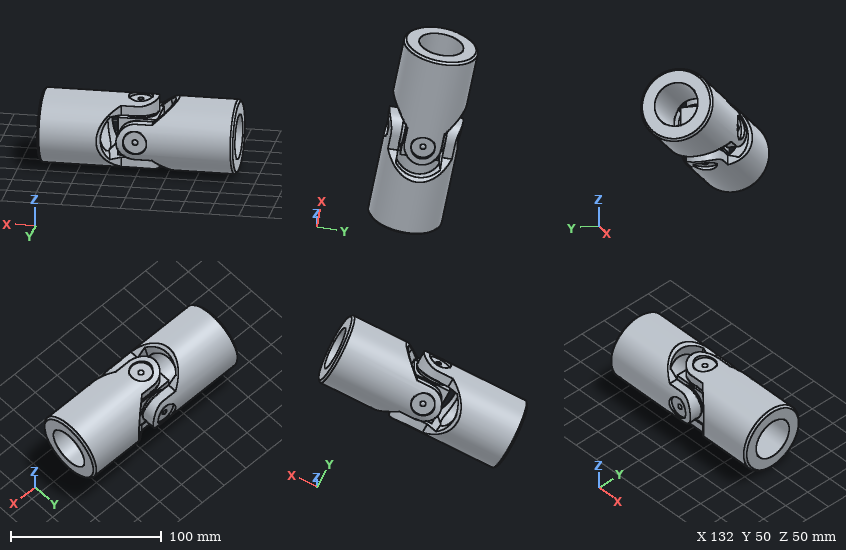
import cadquery as cq

hub_length = 66.0
hub_diameter = 50.0
hub_radius = hub_diameter / 2
bore_diameter = 30.0
end_chamfer = 1.5

ear_radius = 12.5
ear_straight_end = 11.1
shoulder_end = 25.9
fork_gap = bore_diameter
slot_bottom_radius = 20.6
slot_bottom_centre = 7.0
slot_bottom_tilt = 11.5

block_x = 26.7
block_y = 25.9
block_z = 26.7
collar_diameter = 23.0
pin_diameter = 16.0
pin_reach = 22.7
nib_diameter = 3.8
nib_height = 0.8


def fork_outline():
    """Hub with ear, as a plan outline to be extruded along the pin axis."""
    return (
        cq.Workplane("XY")
        .moveTo(hub_length, hub_radius)
        .lineTo(shoulder_end, hub_radius)
        .lineTo(ear_straight_end, ear_radius)
        .lineTo(0, ear_radius)
        .threePointArc((-ear_radius, 0), (0, -ear_radius))
        .lineTo(ear_straight_end, -ear_radius)
        .lineTo(shoulder_end, -hub_radius)
        .lineTo(hub_length, -hub_radius)
        .close()
        .extrude(hub_radius, both=True)
    )


def fork_slot():
    """Gap between the ears, with a round bottom that deepens toward the hub axis."""
    gap = cq.Workplane("XY").box(hub_diameter, hub_diameter, fork_gap)
    open_end = gap.translate((slot_bottom_centre - hub_radius, 0, 0))
    near_half = cq.Workplane("XY").box(2 * hub_diameter, hub_diameter, fork_gap).translate((0, -hub_radius, 0))
    half_bottom = (
        cq.Workplane("XZ")
        .circle(slot_bottom_radius)
        .extrude(hub_diameter)
        .translate((0, hub_radius, 0))
        .rotate((0, 0, 0), (0, 0, 1), -slot_bottom_tilt)
        .translate((slot_bottom_centre, 0, 0))
        .intersect(near_half)
    )
    return open_end.union(half_bottom).union(half_bottom.mirror("XZ"))


def make_hub():
    """Hub on the +X side, with its ears on the Z pins."""
    barrel = (
        cq.Workplane("YZ", origin=(-ear_radius, 0, 0))
        .circle(hub_radius)
        .extrude(hub_length + ear_radius)
        .faces(">X")
        .chamfer(end_chamfer)
    )
    bore = cq.Workplane("YZ").circle(bore_diameter / 2).extrude(hub_length)
    pin_holes = cq.Workplane("XY").circle(pin_diameter / 2).extrude(hub_radius, both=True)
    return barrel.intersect(fork_outline()).cut(fork_slot()).cut(bore).cut(pin_holes)


def make_nib():
    """Ball sunk into the +Z pin, leaving a domed nib proud of its end face."""
    radius = nib_diameter / 2
    dome_radius = (radius**2 + nib_height**2) / (2 * nib_height)
    dome_centre = pin_reach + nib_height - dome_radius
    return cq.Workplane("XY").sphere(dome_radius).translate((0, 0, dome_centre))


def make_arm():
    """Collar, pin and nib pointing along +Z from the joint centre."""
    collar = cq.Workplane("XY").circle(collar_diameter / 2).extrude(fork_gap / 2)
    pin = cq.Workplane("XY").circle(pin_diameter / 2).extrude(pin_reach)
    return collar.union(pin).union(make_nib())


def make_cross():
    """Central block with four equal arms along +Z, -Y, -Z and +Y."""
    cross = cq.Workplane("XY").box(block_x, block_y, block_z)
    for angle in (0, 90, 180, 270):
        cross = cross.union(make_arm().rotate((0, 0, 0), (1, 0, 0), angle))
    return cross


def turn_to_opposite_side(hub):
    """Face the hub toward -X and put its ears on the Y pins."""
    return hub.rotate((0, 0, 0), (0, 0, 1), 180).rotate((0, 0, 0), (1, 0, 0), 90)


hub = make_hub()
opposite_hub = turn_to_opposite_side(hub)
cross = make_cross()

result = cq.Compound.makeCompound([hub.val(), opposite_hub.val(), cross.val()])